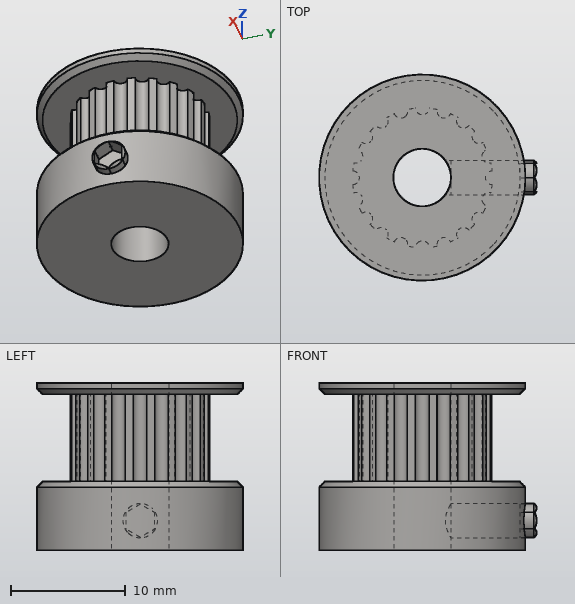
import cadquery as cq
import math

outer_diameter = 18.0
bore_diameter = 5.0
hub_height = 6.0
toothed_height = 7.6
flange_thickness = 1.0
rim_chamfer = 0.5
outer_radius = outer_diameter / 2
bore_radius = bore_diameter / 2
flange_base = hub_height + toothed_height
pulley_height = flange_base + flange_thickness

tooth_count = 20
tooth_tip_diameter = 12.2
groove_radius = 0.6
tooth_tip_radius = tooth_tip_diameter / 2

screw_diameter = 3.0
screw_height = 2.6
screw_chamfer = 0.25
screw_tip_x = bore_radius
screw_head_x = 10.0
socket_across_flats = 2.5
socket_depth = 1.5
screw_length = screw_head_x - screw_tip_x


def make_hub():
    hub = cq.Workplane("XY").circle(outer_radius).extrude(hub_height)
    return hub.faces(">Z").edges().chamfer(rim_chamfer)


def make_toothed_section():
    section = cq.Workplane("XY").workplane(offset=hub_height)
    section = section.circle(tooth_tip_radius).extrude(toothed_height)
    grooves = (
        cq.Workplane("XY")
        .workplane(offset=hub_height)
        .polarArray(tooth_tip_radius, 0, 360, tooth_count)
        .circle(groove_radius)
        .extrude(toothed_height)
    )
    return section.cut(grooves)


def make_flange():
    flange = cq.Workplane("XY").workplane(offset=flange_base)
    flange = flange.circle(outer_radius).extrude(flange_thickness)
    return flange.faces("<Z").edges().chamfer(rim_chamfer)


def along_x(start_x):
    """Workplane facing +X on the screw axis."""
    return cq.Workplane("YZ", origin=(start_x, 0, screw_height))


def make_pulley():
    pulley = make_hub().union(make_toothed_section()).union(make_flange())
    bore = cq.Workplane("XY").circle(bore_radius).extrude(pulley_height)
    screw_hole = along_x(0).circle(screw_diameter / 2).extrude(outer_radius)
    return pulley.cut(bore).cut(screw_hole)


def make_set_screw():
    screw = along_x(screw_tip_x).circle(screw_diameter / 2).extrude(screw_length)
    screw = screw.faces(">X").edges().chamfer(screw_chamfer)
    socket_corner_diameter = socket_across_flats / math.cos(math.pi / 6)
    socket = (
        along_x(screw_head_x - socket_depth)
        .transformed(rotate=(0, 0, 90))
        .polygon(6, socket_corner_diameter)
        .extrude(socket_depth)
    )
    return screw.cut(socket)


pulley = make_pulley()
set_screw = make_set_screw()

result = cq.Compound.makeCompound([pulley.val(), set_screw.val()])